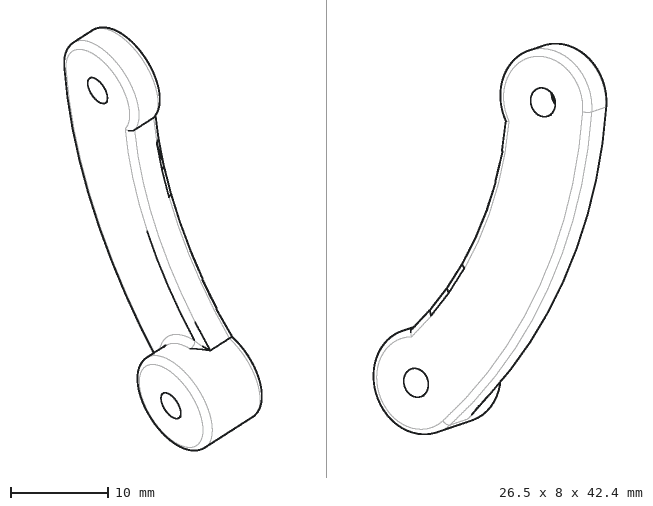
import cadquery as cq
import math

size_x = 26.5
size_z = 42.4
depth = 8.0
boss_radius = 5.5
hole_diameter = 3.0
edge_radius = 0.68
outer_radius = 52.98
inner_radius = 37.7
inner_center_distance = 42.4

arm_thickness = depth / 2
arm_middle = arm_thickness / 2
boss_front = arm_thickness - depth
flatness = 0.05

upper_pivot = (2 * boss_radius - size_x, size_z - 2 * boss_radius)
lower_pivot = (0.0, 0.0)
pivot_spacing = math.dist(upper_pivot, lower_pivot)
pivot_middle = (upper_pivot[0] / 2, upper_pivot[1] / 2)


def direction(start, end):
    """Angle in XZ of the line from one point to another."""
    return math.atan2(end[1] - start[1], end[0] - start[0])


def polar(center, radius, angle):
    """Point in XZ at a radius and an angle about a centre."""
    return center[0] + radius * math.cos(angle), center[1] + radius * math.sin(angle)


def toward(center, radius, target):
    """Point at a radius about a centre, on the line to the target."""
    return polar(center, radius, direction(center, target))


def find_arc_center(pivot_distance):
    """Point at one distance from both pivots, on the concave side of the arm."""
    offset = math.sqrt(pivot_distance**2 - (pivot_spacing / 2) ** 2)
    return polar(pivot_middle, offset, direction(lower_pivot, upper_pivot) - math.pi / 2)


outer_center = find_arc_center(outer_radius - boss_radius)
inner_center = find_arc_center(inner_center_distance)


def cylinder(center, radius, front, back):
    """Cylinder along Y from the front to the back position."""
    return cq.Workplane("XZ", origin=(center[0], front, center[1])).circle(radius).extrude(front - back)


def make_plate(front, back, upper_stop, lower_stop, inner_side_is_arc):
    """Plate with two round ends joined by the convex arc, which is tangent to both.

    The stops are the angles about the pivots at which the round ends meet the inner
    side, which is either the concave arc or a straight line.
    """
    upper_start = direction(outer_center, upper_pivot) % math.tau
    lower_start = direction(outer_center, lower_pivot) % math.tau
    outline = (
        cq.Workplane("XZ", origin=(0, front, 0))
        .moveTo(*polar(upper_pivot, boss_radius, upper_start))
        .threePointArc(
            toward(outer_center, outer_radius, pivot_middle),
            polar(lower_pivot, boss_radius, lower_start),
        )
        .threePointArc(
            polar(lower_pivot, boss_radius, (lower_start + lower_stop + math.tau) / 2),
            polar(lower_pivot, boss_radius, lower_stop),
        )
    )
    upper_corner = polar(upper_pivot, boss_radius, upper_stop)
    if inner_side_is_arc:
        outline = outline.threePointArc(toward(inner_center, inner_radius, pivot_middle), upper_corner)
    else:
        outline = outline.lineTo(*upper_corner)
    return (
        outline.threePointArc(
            polar(upper_pivot, boss_radius, (upper_stop + upper_start) / 2),
            polar(upper_pivot, boss_radius, upper_start),
        )
        .close()
        .extrude(front - back)
    )


def make_front_half():
    """Front half of the arm with the boss, its rims and the boss root rounded."""
    reach = (inner_center_distance**2 + boss_radius**2 - inner_radius**2) / (2 * inner_center_distance)
    swing = math.acos(reach / boss_radius)
    upper_stop = direction(upper_pivot, inner_center) - swing
    lower_stop = direction(lower_pivot, inner_center) + swing

    boss = cylinder(lower_pivot, boss_radius, boss_front, arm_middle)
    half = make_plate(0, arm_middle, upper_stop, lower_stop, True).union(boss).clean()
    arm_face_edges = cq.selectors.BoxSelector(
        (-size_z, -flatness, -size_z), (size_z, flatness, size_z), boundingbox=True
    )
    half = half.edges(arm_face_edges).fillet(edge_radius)
    return half.faces("<Y").edges().fillet(edge_radius)


def make_concave_band():
    """Back strip between the concave side and an arc through the pivots, rounded on the concave side."""
    ring_radius = inner_center_distance
    band = (
        cq.Workplane("XZ", origin=(0, arm_middle, 0))
        .moveTo(*upper_pivot)
        .threePointArc(toward(inner_center, ring_radius, pivot_middle), lower_pivot)
        .lineTo(*toward(inner_center, inner_radius, lower_pivot))
        .threePointArc(
            toward(inner_center, inner_radius, pivot_middle),
            toward(inner_center, inner_radius, upper_pivot),
        )
        .close()
        .extrude(arm_middle - arm_thickness)
    )
    return band.faces(">Y").edges("%CIRCLE").edges(">X").fillet(edge_radius)


def make_back_half():
    """Back half of the arm: the round ends and convex side, then the concave strip."""
    upper_stop = direction(upper_pivot, lower_pivot)
    lower_stop = direction(lower_pivot, upper_pivot)
    plate = make_plate(arm_middle, arm_thickness, upper_stop, lower_stop, False)
    plate = plate.faces(">Y").edges("%CIRCLE").fillet(edge_radius)
    return plate.union(make_concave_band())


result = make_front_half().union(make_back_half()).clean()
for pivot in (upper_pivot, lower_pivot):
    result = result.cut(cylinder(pivot, hole_diameter / 2, boss_front, arm_thickness))